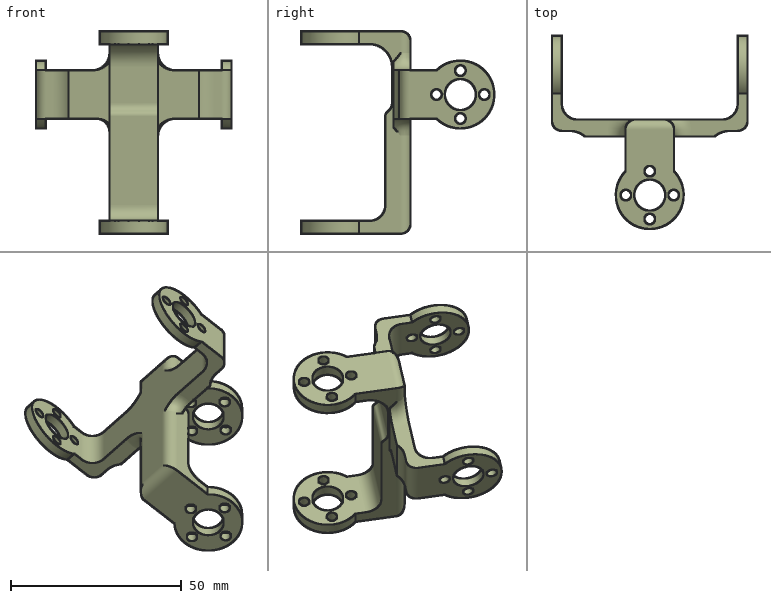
import cadquery as cq
import math

BAR_WIDTH = 14.25
HALF_WIDTH = BAR_WIDTH / 2
OUTER_RADIUS = 2.95
BEND_RADIUS = 4.5

DISC_RADIUS = 10.0
BORE_DIAMETER = 9.0
BOLT_DIAMETER = 3.0
BOLT_CIRCLE_RADIUS = 7.0
BOLT_COUNT = 4

TOTAL_HEIGHT = 59.4
SPINE_TOP = 18.6
SPINE_BOTTOM = SPINE_TOP - TOTAL_HEIGHT
ARM_THICKNESS = 3.85
ARM_LENGTH = 22.15
UPPER_THICKNESS = 5.5
LOWER_THICKNESS = 7.5
UPPER_BEND_RADIUS = 6.55
STEP_TOP = -2.6
STEP_BOTTOM = -6.4
STEP_HOLLOW_SHARE = 0.6

WING_HALF_SPAN = 28.7
WING_ARM_THICKNESS = 2.95
WING_ARM_LENGTH = 14.55
WING_THICKNESS = 5.0
WING_END_THICKNESS = 3.4
RELIEF_INNER_X = 19.05
RELIEF_OUTER_X = 23.4

FLARE_RADIUS = 5.0
SMALL_FLARE_RADIUS = 3.75


def mounting_disc(thickness):
    """Disc pad on the XY plane, rising along +Z."""
    return cq.Workplane("XY").circle(DISC_RADIUS).extrude(thickness)


def disc_holes(thickness):
    """Bore and bolt holes of one mounting disc."""
    bore = cq.Workplane("XY").circle(BORE_DIAMETER / 2).extrude(thickness)
    bolts = (
        cq.Workplane("XY")
        .polarArray(BOLT_CIRCLE_RADIUS, 0, 360, BOLT_COUNT)
        .circle(BOLT_DIAMETER / 2)
        .extrude(thickness)
    )
    return bore.union(bolts)


def place_on_spine(shape, base_z):
    return shape.translate((0, -ARM_LENGTH, base_z))


def place_on_wing(shape, base_x):
    return shape.rotate((0, 0, 0), (0, 1, 0), 90).translate((base_x, WING_ARM_LENGTH, 0))


def quarter_middle(center, radius, x_sign, y_sign):
    """Middle point of a quarter arc, in the given quadrant of its circle."""
    offset = radius * math.sqrt(0.5)
    return (center[0] + x_sign * offset, center[1] + y_sign * offset)


def make_spine():
    upper_y = -UPPER_THICKNESS
    lower_y = -LOWER_THICKNESS
    upper_arm_z = SPINE_TOP - ARM_THICKNESS
    lower_arm_z = SPINE_BOTTOM + ARM_THICKNESS
    upper_bend = (upper_y - UPPER_BEND_RADIUS, upper_arm_z - UPPER_BEND_RADIUS)
    lower_bend = (lower_y - BEND_RADIUS, lower_arm_z + BEND_RADIUS)
    step_middle = (
        upper_y + STEP_HOLLOW_SHARE * (lower_y - upper_y),
        STEP_TOP + STEP_HOLLOW_SHARE * (STEP_BOTTOM - STEP_TOP),
    )
    side = (
        cq.Workplane("YZ")
        .moveTo(-ARM_LENGTH, SPINE_TOP)
        .lineTo(0, SPINE_TOP)
        .lineTo(0, SPINE_BOTTOM)
        .lineTo(-ARM_LENGTH, SPINE_BOTTOM)
        .lineTo(-ARM_LENGTH, lower_arm_z)
        .lineTo(lower_bend[0], lower_arm_z)
        .threePointArc(quarter_middle(lower_bend, BEND_RADIUS, 1, -1), (lower_y, lower_bend[1]))
        .lineTo(lower_y, STEP_BOTTOM)
        .tangentArcPoint(step_middle, relative=False)
        .tangentArcPoint((upper_y, STEP_TOP), relative=False)
        .lineTo(upper_y, upper_bend[1])
        .threePointArc(quarter_middle(upper_bend, UPPER_BEND_RADIUS, 1, 1), (upper_bend[0], upper_arm_z))
        .lineTo(-ARM_LENGTH, upper_arm_z)
        .close()
        .extrude(HALF_WIDTH, both=True)
        .edges("|X and >Y")
        .fillet(OUTER_RADIUS)
    )
    plan = (
        cq.Workplane("XY")
        .workplane(offset=SPINE_BOTTOM)
        .center(0, -ARM_LENGTH / 2)
        .rect(BAR_WIDTH, ARM_LENGTH)
        .extrude(TOTAL_HEIGHT)
        .edges("|Z and >Y")
        .fillet(OUTER_RADIUS)
    )
    spine = side.intersect(plan)
    for base_z in (SPINE_BOTTOM, upper_arm_z):
        spine = spine.union(place_on_spine(mounting_disc(ARM_THICKNESS), base_z))
    return spine


def make_half_wing():
    """Half of the wing bracket on the +X side, without flares or holes."""
    inner_x = WING_HALF_SPAN - WING_ARM_THICKNESS
    end_y = -WING_END_THICKNESS
    bend = (inner_x - BEND_RADIUS, BEND_RADIUS)
    corner = (WING_HALF_SPAN - OUTER_RADIUS, end_y + OUTER_RADIUS)
    wing = (
        cq.Workplane("XY")
        .workplane(offset=-HALF_WIDTH)
        .moveTo(0, 0)
        .lineTo(bend[0], 0)
        .threePointArc(quarter_middle(bend, BEND_RADIUS, 1, -1), (inner_x, bend[1]))
        .lineTo(inner_x, WING_ARM_LENGTH)
        .lineTo(WING_HALF_SPAN, WING_ARM_LENGTH)
        .lineTo(WING_HALF_SPAN, corner[1])
        .threePointArc(quarter_middle(corner, OUTER_RADIUS, 1, -1), (corner[0], end_y))
        .lineTo(RELIEF_OUTER_X, end_y)
        .tangentArcPoint((RELIEF_INNER_X, -WING_THICKNESS), relative=False)
        .lineTo(0, -WING_THICKNESS)
        .close()
        .extrude(BAR_WIDTH)
    )
    return wing.union(place_on_wing(mounting_disc(WING_ARM_THICKNESS), inner_x))


def make_flare(radius):
    """Trumpet above a wing, turned about the axis of the spine's rounded back edge."""
    outer = OUTER_RADIUS + radius
    arc_center = (outer, HALF_WIDTH + radius)
    flare = (
        cq.Workplane("XZ")
        .moveTo(0, 0)
        .lineTo(outer, 0)
        .lineTo(outer, HALF_WIDTH)
        .threePointArc(quarter_middle(arc_center, radius, -1, -1), (OUTER_RADIUS, arc_center[1]))
        .lineTo(0, arc_center[1])
        .close()
        .revolve(360, (0, 0), (0, 1))
        .translate((HALF_WIDTH - OUTER_RADIUS, -OUTER_RADIUS, 0))
    )
    slab = cq.Workplane("XY").box(
        2 * WING_HALF_SPAN, WING_THICKNESS, TOTAL_HEIGHT, centered=(True, False, True)
    )
    return flare.intersect(slab.translate((0, -WING_THICKNESS, 0)))


def make_wing(lower_flare_radius):
    """Half of the wing bracket on the +X side, with its flares above and below."""
    lower_flare = make_flare(lower_flare_radius).mirror("XY")
    return make_half_wing().union(make_flare(FLARE_RADIUS)).union(lower_flare)


right_wing = make_wing(FLARE_RADIUS)
left_wing = make_wing(SMALL_FLARE_RADIUS).mirror("YZ")
result = make_spine().union(right_wing).union(left_wing)

for arm_base_z in (SPINE_BOTTOM, SPINE_TOP - ARM_THICKNESS):
    result = result.cut(place_on_spine(disc_holes(ARM_THICKNESS), arm_base_z))
for arm_base_x in (-WING_HALF_SPAN, WING_HALF_SPAN - WING_ARM_THICKNESS):
    result = result.cut(place_on_wing(disc_holes(WING_ARM_THICKNESS), arm_base_x))